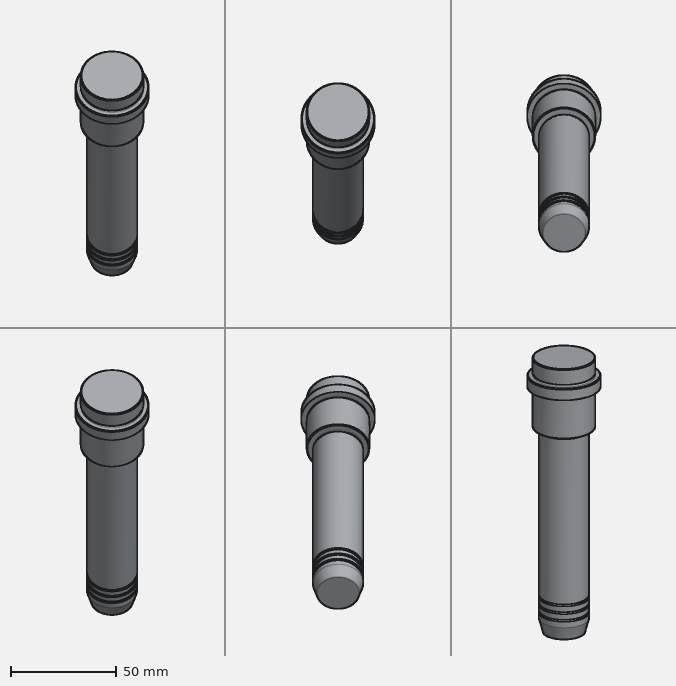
import cadquery as cq
import math

length = 141.0

flange_radius = 17.5
body_radius = 15.0
shaft_radius = 12.0

head_height = 9.0
flange_thickness = 5.9
body_height = 21.0
flange_top = length - head_height
flange_bottom = flange_top - flange_thickness
body_bottom = flange_bottom - body_height

edge_chamfer = 0.5

groove_radius = 0.5
relief_radius = 0.63
ring_groove_pitch = 4.0
ring_groove_count = 3
first_ring_groove_bottom = 10.0

tip_height = 7.0
tip_angle = 15.0
tip_edge_radius = 0.21


def disc(radius, bottom, top):
    """Cylinder on the Z axis between two heights."""
    return cq.Workplane("XY").workplane(offset=bottom).circle(radius).extrude(top - bottom)


def half_round_groove(surface_radius, height, radius):
    """Ring of round section, centred on a cylinder's surface, that cuts a half-round groove."""
    ring = cq.Solid.makeTorus(surface_radius, radius, cq.Vector(0, 0, height), cq.Vector(0, 0, 1))
    return cq.Workplane("XY").add(ring)


tip_radius = shaft_radius - tip_height * math.tan(math.radians(tip_angle))
shaft = (
    cq.Workplane("XZ")
    .polyline([
        (0, 0),
        (tip_radius, 0),
        (shaft_radius, tip_height),
        (shaft_radius, body_bottom),
        (0, body_bottom),
    ])
    .close()
    .revolve(360, (0, 0), (0, 1))
    .faces("<Z")
    .edges()
    .fillet(tip_edge_radius)
)

for index in range(ring_groove_count):
    groove_height = first_ring_groove_bottom + groove_radius + index * ring_groove_pitch
    shaft = shaft.cut(half_round_groove(shaft_radius, groove_height, groove_radius))

shaft = shaft.cut(half_round_groove(shaft_radius, body_bottom - relief_radius, relief_radius))

body = disc(body_radius, body_bottom, flange_bottom).faces("<Z").edges().chamfer(edge_chamfer)
body = body.cut(half_round_groove(body_radius, flange_bottom - groove_radius, groove_radius))

flange = disc(flange_radius, flange_bottom, flange_top).faces(">Z").edges().chamfer(edge_chamfer)

head = disc(body_radius, flange_top, length).faces(">Z").edges().chamfer(edge_chamfer)
head = head.cut(half_round_groove(body_radius, flange_top + groove_radius, groove_radius))

result = shaft.union(body).union(flange).union(head)